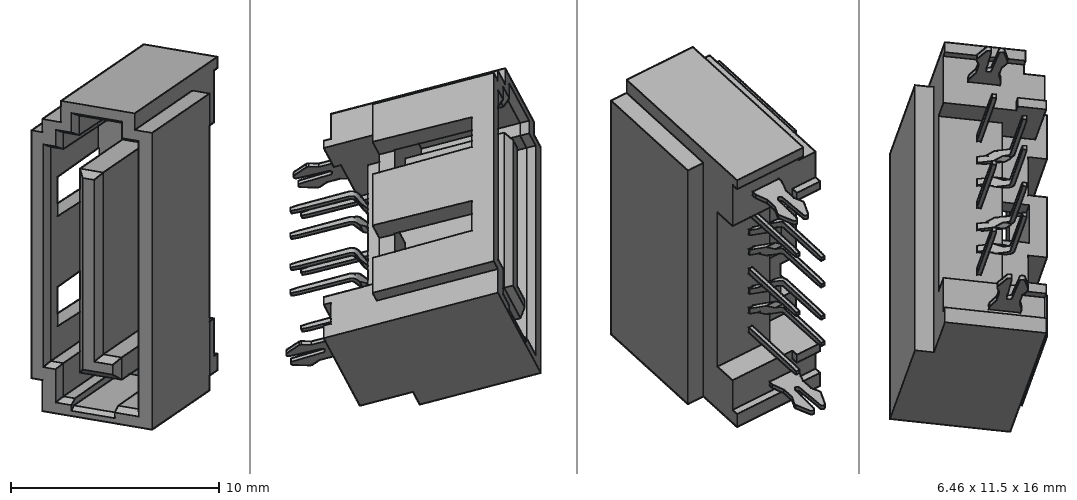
import cadquery as cq
import math


WIDTH = 6.46
HEIGHT = 16.0
BODY_LEFT = 0.58
BODY_RIGHT = 5.54
SHROUD_DEPTH = 6.2
FOOT_DEPTH = 8.93
PLATE_DEPTH = 7.35
PLATE_LEFT = 2.42
SHROUD_LEFT_BOTTOM = 1.58
SHROUD_LEFT_TOP = 14.24
SHROUD_RIGHT_TOP = 15.15
SHOULDER_X = 1.58
SHOULDER_TOP = 14.91
LOWER_FOOT_TOP = 2.77
UPPER_FOOT_BOTTOM = 12.77

RELIEF_DEPTH = 0.37
RELIEF_FACE = FOOT_DEPTH - RELIEF_DEPTH
LOWER_RELIEF = (0.85, 2.25)
UPPER_RELIEF = (13.26, 15.42)
LIP_RIGHT = 1.97

CAVITY_DEPTH = 5.42
MOUTH_INSET = 0.22
MOUTH_CHAMFER_DEPTH = 0.38
CAVITY_DRAFT = 0.03
MOUTH_LEFT = 0.62
MOUTH_OUTLINE = [
    (1.3, 0.56), (5.76, 0.56), (5.76, 14.62), (4.86, 14.62), (4.86, 15.47), (2.15, 15.47),
    (2.15, 14.48), (1.3, 14.48), (1.3, 13.63), (MOUTH_LEFT, 13.63), (MOUTH_LEFT, 2.25), (1.3, 2.25),
]
CAVITY_LEFT = MOUTH_LEFT + MOUTH_INSET + CAVITY_DRAFT

GROOVE_LEFT = 2.15
GROOVE_RIGHT = 4.46
GROOVE_FLOOR = 0.46
GROOVE_CHAMFER = 0.2
GROOVE_CHAMFER_DEPTH = 0.25
GROOVE_TOP = 1.6

TONGUE_LEFT = PLATE_LEFT
TONGUE_OUTLINE = [
    (TONGUE_LEFT, 2.15), (4.65, 2.15), (4.65, 3.28), (3.66, 3.28), (3.66, 12.56), (TONGUE_LEFT, 12.56),
]
TONGUE_CHAMFER = 0.32
TONGUE_TIP = 0.03
TONGUE_BEVEL_START = 0.37

WINDOW_BOTTOM = 6.83
WINDOW_TOP = 9.0

LATCH_CENTRES = (5.02, 10.64)
LATCH_FRONT = 1.12
LATCH_FRONT_HEIGHT = 2.0
LATCH_BACK_HEIGHT = 2.18
LATCH_FLOOR = 0.93

CONTACT_SPAN = 7.62
CONTACT_PITCH = CONTACT_SPAN / 6
CONTACT_CENTRE_Z = 7.94
PIN_THICKNESS = 0.2
PIN_HEIGHT = 0.34
PIN_END = 11.17
PIN_TIP_START = 10.78
PIN_TIP_HEIGHT = 0.2
PIN_NECK_HEIGHT = 0.29
PIN_ROOT = 6.4
FAR_ROW_LEFT = 3.45
NEAR_ROW_LEFT = 1.97
BEND_START = 8.15
BEND_ANGLE = math.radians(67)
BEND_RADIUS = 0.37
JOG_SHIFT = 0.22
JOG_START = 7.82
JOG_END = 7.65
JOG_MITRE = 0.08

LOCK_THICKNESS = 0.24
LOCK_ROOT = 7.8
LOCK_END = 11.45
LOCK_ROOT_HALF = 0.78
LOCK_SHOULDER = 8.8
NECK_HALF = 0.56
NECK_START = 9.42
NECK_END = 10.08
BARB_HALF = 0.75
BARB_START = 10.53
BARB_END = 10.64
TIP_OUTER = 0.45
TIP_SHOULDER = 11.36
SLOT_TOP_HALF = 0.2
SLOT_HALF = 0.13
SLOT_START = 9.75
LOWER_LOCK = (2.55, 1.36)
UPPER_LOCK = (3.55, 14.22)


def box(x, y, z):
    """Box from three (low, high) ranges."""
    corner = (x[0], y[0], z[0])
    return cq.Workplane("XY").box(x[1] - x[0], y[1] - y[0], z[1] - z[0], centered=False).translate(corner)


def prism(points, y_start, y_end):
    """XZ outline carried from y_start back to y_end."""
    return cq.Workplane("XZ", origin=(0, y_start, 0)).polyline(points).close().extrude(y_start - y_end)


def inset_wire(points, inset):
    """XZ outline at Y = 0, moved inward with its corners kept sharp."""
    return cq.Workplane("XZ").polyline(points).close().offset2D(-inset, "intersection").val()


def bevel(points, y_full, y_narrow, inset):
    """Solid that narrows evenly from the outline at y_full to the inset outline at y_narrow."""
    full = cq.Wire.makePolygon([cq.Vector(x, y_full, z) for x, z in points], close=True)
    narrow = inset_wire(points, inset).translate(cq.Vector(0, y_narrow, 0))
    return cq.Workplane(obj=cq.Solid.makeLoft([full, narrow], True))


def outer_shape():
    """Full-depth body with a shouldered top, and the wider shroud around its front."""
    body_outline = [
        (BODY_LEFT, 0), (BODY_RIGHT, 0), (BODY_RIGHT, HEIGHT), (SHOULDER_X, HEIGHT),
        (SHOULDER_X, SHOULDER_TOP), (BODY_LEFT, SHOULDER_TOP),
    ]
    left_wing = box((0, BODY_RIGHT), (0, SHROUD_DEPTH), (SHROUD_LEFT_BOTTOM, SHROUD_LEFT_TOP))
    right_wing = box((SHOULDER_X, WIDTH), (0, SHROUD_DEPTH), (0, SHROUD_RIGHT_TOP))
    return prism(body_outline, 0, FOOT_DEPTH).union(left_wing).union(right_wing)


def board_side_cuts():
    """Space between the feet, behind the contact plate and beside it."""
    between_feet = (LOWER_FOOT_TOP, UPPER_FOOT_BOTTOM)
    behind_plate = box((0, WIDTH), (PLATE_DEPTH, FOOT_DEPTH), between_feet)
    beside_plate = box((0, PLATE_LEFT), (SHROUD_DEPTH, FOOT_DEPTH), between_feet)
    return behind_plate.union(beside_plate)


def foot_reliefs():
    """Shallow channels across the board face of both feet, open inward to the right of the lips."""
    depth = (RELIEF_FACE, FOOT_DEPTH)
    lower = box((0, WIDTH), depth, LOWER_RELIEF)
    upper = box((0, WIDTH), depth, UPPER_RELIEF)
    lower_opening = box((LIP_RIGHT, WIDTH), depth, (LOWER_RELIEF[0], LOWER_FOOT_TOP))
    upper_opening = box((LIP_RIGHT, WIDTH), depth, (UPPER_FOOT_BOTTOM, UPPER_RELIEF[1]))
    return lower.union(upper).union(lower_opening).union(upper_opening)


def cavity():
    """Stepped mating cavity with a bevelled mouth and a keying groove in its lower wall."""
    mouth = bevel(MOUTH_OUTLINE, 0, MOUTH_CHAMFER_DEPTH, MOUTH_INSET)
    throat = [(corner.X, corner.Z) for corner in inset_wire(MOUTH_OUTLINE, MOUTH_INSET).Vertices()]
    inner = bevel(throat, MOUTH_CHAMFER_DEPTH, CAVITY_DEPTH, CAVITY_DRAFT)
    mouth_floor = GROOVE_FLOOR - GROOVE_CHAMFER
    groove = (
        cq.Workplane("YZ", origin=(GROOVE_LEFT, 0, 0))
        .polyline([
            (0, mouth_floor), (GROOVE_CHAMFER_DEPTH, GROOVE_FLOOR), (CAVITY_DEPTH, GROOVE_FLOOR),
            (CAVITY_DEPTH, GROOVE_TOP), (0, GROOVE_TOP),
        ])
        .close()
        .extrude(GROOVE_RIGHT - GROOVE_LEFT)
    )
    return mouth.union(inner).union(groove)


def tongue():
    """L-shaped tongue rising from the cavity floor to a bevelled tip."""
    shank = prism(TONGUE_OUTLINE, TONGUE_BEVEL_START, CAVITY_DEPTH)
    tip = bevel(TONGUE_OUTLINE, TONGUE_BEVEL_START, TONGUE_TIP, TONGUE_CHAMFER)
    return shank.union(tip)


def latch_window(centre_z):
    """Window through the left wall, slightly taller at the back, that also notches the cavity floor."""
    front_half = LATCH_FRONT_HEIGHT / 2
    back_half = LATCH_BACK_HEIGHT / 2
    return (
        cq.Workplane("YZ")
        .polyline([
            (LATCH_FRONT, centre_z - front_half), (SHROUD_DEPTH, centre_z - back_half),
            (SHROUD_DEPTH, centre_z + back_half), (LATCH_FRONT, centre_z + front_half),
        ])
        .close()
        .extrude(LATCH_FLOOR)
    )


def make_housing(inserts):
    shell = outer_shape().cut(board_side_cuts()).cut(foot_reliefs()).cut(cavity())
    floor_window = box((CAVITY_LEFT, TONGUE_LEFT), (CAVITY_DEPTH, SHROUD_DEPTH), (WINDOW_BOTTOM, WINDOW_TOP))
    shell = shell.cut(floor_window).union(tongue())
    for centre_z in LATCH_CENTRES:
        shell = shell.cut(latch_window(centre_z))
    for insert in inserts:
        shell = shell.cut(insert)
    return shell


def pin_side_profile(root_z, lead_z):
    """YZ outline of a pin that leaves the plate at root_z and ends at lead_z, with a tapered tip."""
    half = PIN_HEIGHT / 2
    neck = PIN_NECK_HEIGHT / 2
    tip = PIN_TIP_HEIGHT / 2
    outline = [(PIN_ROOT, root_z - half)]
    shift = lead_z - root_z
    if shift:
        mitre = math.copysign(JOG_MITRE, shift)
        outline += [(JOG_END + mitre, root_z - half), (JOG_START + mitre, lead_z - half)]
    outline += [
        (BEND_START, lead_z - half), (PIN_TIP_START, lead_z - neck), (PIN_END, lead_z - tip),
        (PIN_END, lead_z + tip), (PIN_TIP_START, lead_z + neck), (BEND_START, lead_z + half),
    ]
    if shift:
        outline += [(JOG_START - mitre, lead_z + half), (JOG_END - mitre, root_z + half)]
    outline.append((PIN_ROOT, root_z + half))
    return cq.Workplane("YZ").polyline(outline).close().extrude(WIDTH)


def straight_pin(z):
    x_range = (FAR_ROW_LEFT, FAR_ROW_LEFT + PIN_THICKNESS)
    strip = box(x_range, (PIN_ROOT, PIN_END), (0, HEIGHT))
    return pin_side_profile(z, z).intersect(strip)


def bent_strip():
    """Strip that leaves the far row, slants over to the near row and bends back to run along Y."""
    inner_radius = BEND_RADIUS - PIN_THICKNESS
    centre_x = NEAR_ROW_LEFT + BEND_RADIUS
    far_right = FAR_ROW_LEFT + PIN_THICKNESS
    near_right = NEAR_ROW_LEFT + PIN_THICKNESS

    def bend_point(radius, angle):
        return (centre_x - radius * math.cos(angle), BEND_START - radius * math.sin(angle))

    def slant_y(radius, x):
        """Y where the slanted side that continues the arc of this radius reaches x."""
        start_x, start_y = bend_point(radius, BEND_ANGLE)
        return start_y - (x - start_x) / math.tan(BEND_ANGLE)

    return (
        cq.Workplane("XY")
        .moveTo(NEAR_ROW_LEFT, PIN_END)
        .lineTo(NEAR_ROW_LEFT, BEND_START)
        .threePointArc(bend_point(BEND_RADIUS, BEND_ANGLE / 2), bend_point(BEND_RADIUS, BEND_ANGLE))
        .lineTo(FAR_ROW_LEFT, slant_y(BEND_RADIUS, FAR_ROW_LEFT))
        .lineTo(FAR_ROW_LEFT, PIN_ROOT)
        .lineTo(far_right, PIN_ROOT)
        .lineTo(far_right, slant_y(inner_radius, far_right))
        .lineTo(*bend_point(inner_radius, BEND_ANGLE))
        .threePointArc(bend_point(inner_radius, BEND_ANGLE / 2), (near_right, BEND_START))
        .lineTo(near_right, PIN_END)
        .close()
        .extrude(HEIGHT)
    )


def jogged_pin(root_z, lead_z):
    return pin_side_profile(root_z, lead_z).intersect(bent_strip())


def make_pins():
    """Every third contact is straight; those between step apart in Z, away from each other's row."""
    pins = []
    for index in range(-3, 4):
        z = CONTACT_CENTRE_Z + index * CONTACT_PITCH
        if index % 3 == 0:
            pins.append(straight_pin(z))
        elif index % 3 == 1:
            pins.append(jogged_pin(z, z - JOG_SHIFT))
        else:
            pins.append(jogged_pin(z, z + JOG_SHIFT))
    return pins


def make_board_lock(centre_x, centre_z):
    """Flat forked snap-in lock: two barbed prongs either side of a tapering round-ended slot."""
    slot_arc_middle = (SLOT_HALF * math.sqrt(0.5), SLOT_START - SLOT_HALF * math.sqrt(0.5))
    half = (
        cq.Workplane("XY")
        .polyline([
            (0, LOCK_ROOT), (LOCK_ROOT_HALF, LOCK_ROOT), (LOCK_ROOT_HALF, LOCK_SHOULDER),
            (NECK_HALF, NECK_START), (NECK_HALF, NECK_END), (BARB_HALF, BARB_START),
            (BARB_HALF, BARB_END), (TIP_OUTER, TIP_SHOULDER),
        ])
        .threePointArc(((TIP_OUTER + SLOT_TOP_HALF) / 2, LOCK_END), (SLOT_TOP_HALF, TIP_SHOULDER))
        .lineTo(SLOT_HALF, SLOT_START)
        .threePointArc(slot_arc_middle, (0, SLOT_START - SLOT_HALF))
        .close()
        .extrude(LOCK_THICKNESS)
    )
    fork = half.union(half.mirror("YZ"))
    return fork.translate((centre_x, 0, centre_z - LOCK_THICKNESS / 2))


pins = make_pins()
board_locks = [make_board_lock(*place) for place in (LOWER_LOCK, UPPER_LOCK)]
housing = make_housing(pins + board_locks)

result = cq.Compound.makeCompound(
    [housing.val()] + [pin.val() for pin in pins] + [lock.val() for lock in board_locks]
)